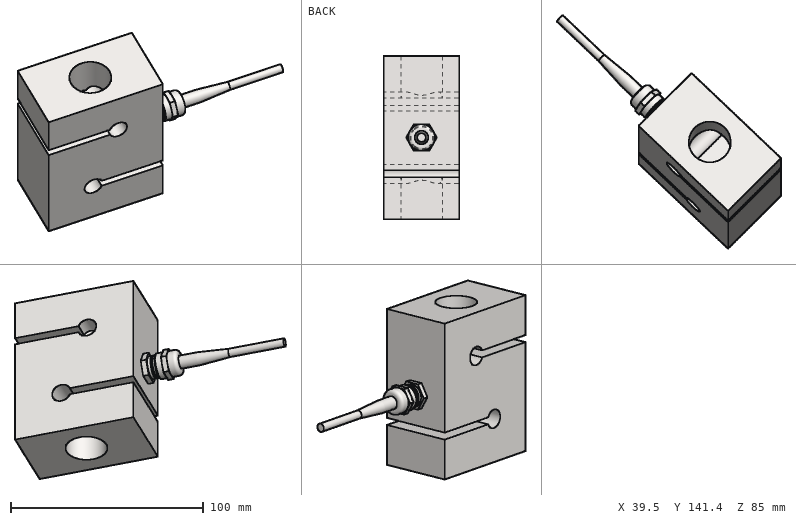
import cadquery as cq
import math

BLOCK_WIDTH = 39.5
BLOCK_LENGTH = 65.0
BLOCK_HEIGHT = 85.0

SLOT_HEIGHT = 3.8
SLOT_INSET = 23.68
RELIEF_DIAMETER = 10.0
RELIEF_WALL = 25.5
LOAD_HOLE_DIAMETER = 21.8

HEX_ACROSS_CORNERS = 16.0
HEX_ACROSS_FLATS = HEX_ACROSS_CORNERS * math.cos(math.pi / 6)
HEX_LENGTH = 3.0
NECK_DIAMETER = 11.5
NECK_LENGTH = 4.5
RIB_DIAMETER = 12.3
INNER_RIB_LENGTH = 1.7
OUTER_RIB_START = 2.7
OUTER_RIB_LENGTH = 1.3
CAP_SKIRT_LENGTH = 3.5
CAP_NOSE_LENGTH = 5.2
CAP_FILLET = 2.0

BOOT_DIAMETER = 7.0
BOOT_LENGTH = 9.8
TAPER_LENGTH = 17.1
CABLE_DIAMETER = 4.5
TOTAL_LENGTH = 141.4

NECK_START = HEX_LENGTH
CAP_START = NECK_START + NECK_LENGTH
CAP_HEX_START = CAP_START + CAP_SKIRT_LENGTH
CAP_LENGTH = CAP_SKIRT_LENGTH + HEX_LENGTH + CAP_NOSE_LENGTH
BOOT_START = CAP_START + CAP_LENGTH
TAPER_START = BOOT_START + BOOT_LENGTH
CABLE_START = TAPER_START + TAPER_LENGTH
CABLE_END = TOTAL_LENGTH - BLOCK_LENGTH


def plane_at(y):
    """Workplane across the cable axis, facing +Y, with its local X along +X."""
    return cq.Workplane(cq.Plane(origin=(0, y, 0), xDir=(1, 0, 0), normal=(0, 1, 0)))


def cylinder(start, length, diameter):
    return plane_at(start).circle(diameter / 2).extrude(length)


def hexagon(start):
    """Hexagonal flange with two corners on the X direction."""
    return plane_at(start).polygon(6, HEX_ACROSS_CORNERS).extrude(HEX_LENGTH)


def make_upper_cut():
    """Slot open to the front, its relief hole and the load hole above it."""
    slot_z = BLOCK_HEIGHT / 2 - SLOT_INSET
    slot_length = BLOCK_LENGTH - RELIEF_WALL
    slot = (
        cq.Workplane("XY")
        .box(BLOCK_WIDTH, slot_length, SLOT_HEIGHT)
        .translate((0, -RELIEF_WALL - slot_length / 2, slot_z))
    )
    relief = (
        cq.Workplane("YZ")
        .center(-RELIEF_WALL, slot_z)
        .circle(RELIEF_DIAMETER / 2)
        .extrude(BLOCK_WIDTH / 2, both=True)
    )
    load_hole = (
        cq.Workplane("XY", origin=(0, -BLOCK_LENGTH / 2, slot_z))
        .circle(LOAD_HOLE_DIAMETER / 2)
        .extrude(SLOT_INSET)
    )
    return slot.union(relief).union(load_hole)


def make_block():
    center_y = -BLOCK_LENGTH / 2
    block = cq.Workplane("XY").box(BLOCK_WIDTH, BLOCK_LENGTH, BLOCK_HEIGHT).translate((0, center_y, 0))
    upper_cut = make_upper_cut()
    lower_cut = upper_cut.rotate((0, center_y, 0), (1, center_y, 0), 180)
    return block.cut(upper_cut).cut(lower_cut)


def make_gland():
    """Base hexagon, ribbed neck, cap with its hexagon, and tapered boot."""
    neck = cylinder(NECK_START, NECK_LENGTH, NECK_DIAMETER)
    inner_rib = cylinder(NECK_START, INNER_RIB_LENGTH, RIB_DIAMETER)
    outer_rib = cylinder(NECK_START + OUTER_RIB_START, OUTER_RIB_LENGTH, RIB_DIAMETER)
    cap = cylinder(CAP_START, CAP_LENGTH, HEX_ACROSS_FLATS).faces(">Y").edges().fillet(CAP_FILLET)
    boot = cylinder(BOOT_START, BOOT_LENGTH, BOOT_DIAMETER)
    taper = (
        plane_at(TAPER_START)
        .circle(BOOT_DIAMETER / 2)
        .workplane(offset=TAPER_LENGTH)
        .circle(CABLE_DIAMETER / 2)
        .loft()
    )
    gland = hexagon(0)
    for piece in (neck, inner_rib, outer_rib, cap, hexagon(CAP_HEX_START), boot, taper):
        gland = gland.union(piece)
    return gland


def make_cable():
    return cylinder(CABLE_START, CABLE_END - CABLE_START, CABLE_DIAMETER)


block = make_block()
gland = make_gland()
cable = make_cable()

result = cq.Compound.makeCompound([block.val(), gland.val(), cable.val()])